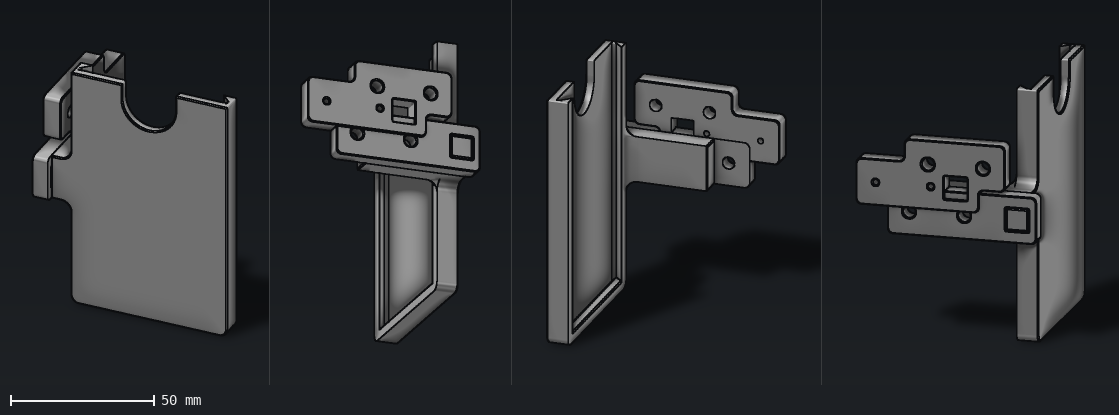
import cadquery as cq
import math

edge_chamfer = 0.5
plate_chamfer = 0.4
mount_back = 7.0
plate_corner_radius = 2.0
screw_hole_diameter = 4.4
screw_spacing = 20.0
tenon_size = 8.0
socket_clearance = 0.2
square_corner_radius = 0.55
margin = 0.1

overall_x = 74.5
tray_front = 2.9
tray_width = 60.0
tray_thickness = 8.0
tray_height = 92.0
tray_corner_radius = 2.99
rim_radius = 0.55
tray_left = overall_x - tray_width
tray_center = overall_x - tray_width / 2
tray_back = tray_front + tray_thickness

arm_bottom = 39.9
arm_height = 17.0
arm_length = 38.1
arm_top = arm_bottom + arm_height
arm_middle = arm_bottom + arm_height / 2
arm_end = tray_front + arm_length
arm_fillet = 4.0

notch_width = 20.4
notch_depth = 16.1

pocket_wall = 1.9
pocket_floor = tray_front + 3.2
undercut_height = 1.75
lip_overhang = 2.85
slope_start = pocket_floor + undercut_height
pocket_bottom = 3.9

lower_front = 1.0
lower_length = 53.9
lower_hole_y = 26.1
tenon_y = tray_front + tray_thickness / 2

upper_end = 65.0
upper_top = 75.1
upper_bottom = 50.05
upper_right = 11.0
upper_step_y = 47.6
upper_step_z = 66.9
notch_y = 20.6
notch_z = 58.3
upper_hole_y = 19.0
upper_hole_z = 66.4
pilot_hole_diameter = 2.0
pilot_hole_y = 38.0
pilot_hole_z = 58.4
socket_y = 29.0
socket_z = 58.4


def block(x, y, z):
    """Box from three (low, high) ranges."""
    size = [high - low for low, high in (x, y, z)]
    return cq.Workplane("XY").box(*size, centered=False).translate((x[0], y[0], z[0]))


def plate(outline, front, chamfered_faces):
    """Plate with rounded corners and chamfered edges; the outline is in Y and Z."""
    body = cq.Workplane("YZ").polyline(outline).close().extrude(mount_back - front)
    body = body.edges("|X").fillet(plate_corner_radius)
    body = body.faces(chamfered_faces).edges().chamfer(plate_chamfer)
    return body.translate((front, 0, 0))


def cut_holes(body, front, diameter, points):
    """Through holes along X with a chamfered front edge."""
    radius = diameter / 2
    sketch = cq.Workplane("YZ", origin=(front, 0, 0)).pushPoints(points)
    body = body.cut(sketch.circle(radius).extrude(mount_back - front))
    for y, z in points:
        flare = cq.Solid.makeCone(
            radius + edge_chamfer, radius, edge_chamfer, cq.Vector(front, y, z), cq.Vector(1, 0, 0)
        )
        body = body.cut(cq.Workplane(flare))
    return body


def cut_socket(body, front, y, z):
    """Square through hole along X with a chamfered front edge."""
    side = tenon_size + 2 * socket_clearance
    hole = cq.Workplane("YZ", origin=(front, y, z)).rect(side, side).extrude(mount_back - front)
    hole = hole.edges("|X").fillet(square_corner_radius)
    body = body.cut(hole)
    reach = side / 2 + margin
    mouth = cq.selectors.BoxSelector(
        (front - margin, y - reach, z - reach), (front + margin, y + reach, z + reach)
    )
    return body.edges(mouth).chamfer(plate_chamfer)


def make_root_corner():
    """Concave blend where the fillets above the arm and behind the tray meet, at the arm's top edge."""
    r = arm_fillet
    middle = r * (1 - math.sqrt(0.5))
    profile = (
        cq.Workplane("YZ", origin=(tray_left, tray_back, arm_top))
        .lineTo(r, 0)
        .threePointArc((middle, middle), (0, r))
        .close()
    )
    turned = profile.revolve(90, (0, 0, 0), (1, 0, 0))
    face = cq.Face.makeFromWires(profile.val())
    slanted = cq.Workplane(cq.Solid.extrudeLinear(face, cq.Vector(-r, -r, 0)))
    above_arm = block((tray_left - r, tray_left), (tray_back, tray_back + r), (arm_top, arm_top + r))
    return turned.union(slanted.intersect(above_arm))


def make_pocket():
    """Undercut pocket, open at the top and back of the tray."""
    floor_half = tray_width / 2 - pocket_wall
    lip_half = floor_half - lip_overhang
    slope_end = slope_start + lip_overhang
    half = [
        (floor_half, pocket_floor),
        (floor_half, slope_start),
        (lip_half, slope_end),
        (lip_half, tray_back),
    ]
    outline = half + [(-x, y) for x, y in reversed(half)]
    channel = cq.Workplane("XY").polyline(outline).close().extrude(tray_height - pocket_bottom)
    channel = channel.translate((tray_center, 0, pocket_bottom))
    undercut = (
        cq.Workplane("YZ")
        .polyline(
            [
                (pocket_floor, pocket_bottom),
                (slope_start, pocket_bottom),
                (pocket_floor, pocket_bottom - undercut_height),
            ]
        )
        .close()
        .extrude(floor_half, both=True)
        .translate((tray_center, 0, 0))
    )
    return channel.union(undercut)


def cut_notch(tray):
    """Round-bottomed finger notch in the top edge of the tray."""
    radius = notch_width / 2
    center_z = tray_height - notch_depth + radius
    round_end = cq.Workplane("XZ", origin=(tray_center, tray_back, center_z)).circle(radius)
    mouth = block(
        (tray_center - radius, tray_center + radius), (tray_front, tray_back), (center_z, tray_height)
    )
    return tray.cut(round_end.extrude(tray_thickness)).cut(mouth)


def make_tray():
    tray = block((tray_left, overall_x), (tray_front, tray_back), (0, tray_height))
    tray = tray.edges("|Y and <Z").fillet(tray_corner_radius)
    tray = cut_notch(tray).cut(make_pocket())

    not_lips = cq.selectors.BoxSelector(
        (0, tray_front, 0), (overall_x + margin, slope_start, tray_height + margin)
    )
    tray = tray.faces(">Z").edges("|Y").edges(not_lips).fillet(rim_radius)

    bottom_lip = cq.selectors.BoxSelector(
        (tray_left, tray_back - margin, pocket_bottom - margin),
        (overall_x, tray_back + margin, pocket_bottom + margin),
    )
    return tray.edges("|X").edges(bottom_lip).chamfer(edge_chamfer)


def make_tenon():
    """Square peg on the arm that sits in the socket of the lower plate."""
    half = tenon_size / 2
    tenon = block(
        (lower_front, mount_back), (tenon_y - half, tenon_y + half), (arm_middle - half, arm_middle + half)
    )
    return tenon.edges("|X").fillet(square_corner_radius).faces("<X").edges().chamfer(edge_chamfer)


def make_holder():
    arm = block((mount_back, tray_left), (tray_front, arm_end), (arm_bottom, arm_top))
    body = make_tray().union(arm)

    back_root = cq.selectors.BoxSelector(
        (tray_left - margin, tray_back - margin, arm_bottom),
        (tray_left + margin, tray_back + margin, arm_top),
    )
    side_root = cq.selectors.BoxSelector(
        (tray_left - margin, tray_front, arm_bottom - margin),
        (tray_left + margin, tray_back, arm_top + margin),
    )
    body = body.edges("|Z").edges(back_root).fillet(arm_fillet)
    body = body.edges("|Y").edges(side_root).fillet(arm_fillet)
    corner = make_root_corner()
    body = body.union(corner).union(corner.mirror("XY", (0, 0, arm_middle)))

    body = body.faces("<Y").edges().chamfer(edge_chamfer)
    body = body.faces(">Y").edges().chamfer(edge_chamfer)
    return body.union(make_tenon())


def make_lower_blank():
    outline = [(0, arm_bottom), (lower_length, arm_bottom), (lower_length, arm_top), (0, arm_top)]
    return plate(outline, lower_front, "<X")


def make_lower_plate():
    points = [(lower_hole_y, arm_middle), (lower_hole_y + screw_spacing, arm_middle)]
    body = cut_holes(make_lower_blank(), lower_front, screw_hole_diameter, points)
    return cut_socket(body, lower_front, tenon_y, arm_middle)


def make_upper_plate():
    """Stepped plate, recessed at the back where the lower plate passes behind it."""
    outline = [
        (upper_right, upper_top),
        (upper_step_y, upper_top),
        (upper_step_y, upper_step_z),
        (upper_end, upper_step_z),
        (upper_end, upper_bottom),
        (notch_y, upper_bottom),
        (notch_y, notch_z),
        (upper_right, notch_z),
    ]
    body = plate(outline, 0, "<X or >X")
    screws = [(upper_hole_y, upper_hole_z), (upper_hole_y + screw_spacing, upper_hole_z)]
    pilots = [(pilot_hole_y, pilot_hole_z), (pilot_hole_y + screw_spacing, pilot_hole_z)]
    body = cut_holes(body, 0, screw_hole_diameter, screws)
    body = cut_holes(body, 0, pilot_hole_diameter, pilots)
    body = cut_socket(body, 0, socket_y, socket_z)
    return body.cut(make_lower_blank())


holder = make_holder()
lower_plate = make_lower_plate()
upper_plate = make_upper_plate()
result = cq.Compound.makeCompound([holder.val(), lower_plate.val(), upper_plate.val()])